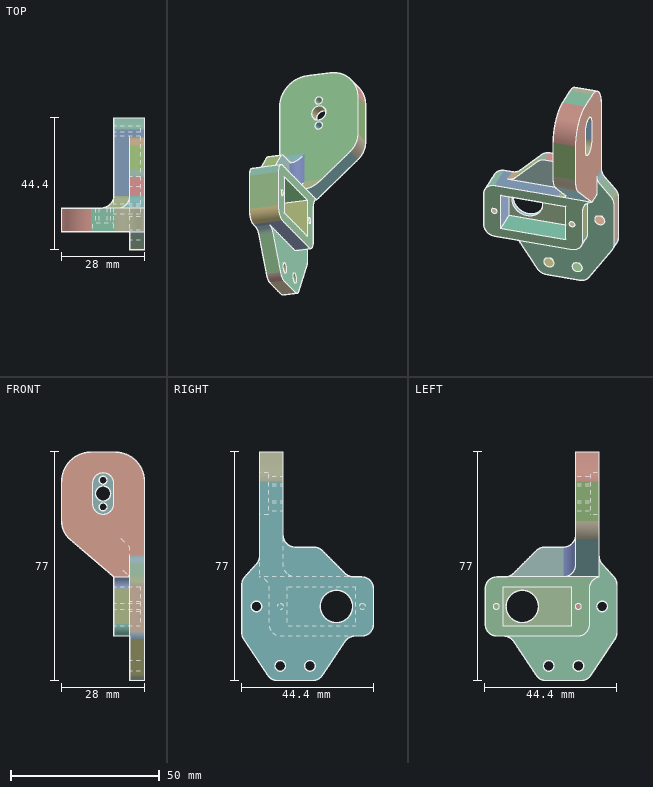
import cadquery as cq

CORNER_RADIUS = 4.0
SELECTION_MARGIN = 1.0

PLATE_THICKNESS = 5.1
PLATE_TOP = 45.0
PLATE_BACK_Y = 36.0
PLATE_SHOULDER_INSET = 10.0
PLATE_FRONT_LOW_Z = 15.0
PLATE_FRONT_HIGH_Z = 33.85
PLATE_ARM_CORNER_Z = 40.45
PLATE_HOLE_DIAMETER = 3.5
PLATE_HOLE_CENTERS = [(5.0, 25.0), (13.0, 5.0), (23.0, 5.0)]

BOX_DEPTH = 10.45
BOX_BACK_Y = 44.4
BOX_FRONT_Y = 9.3
BOX_BOTTOM = PLATE_FRONT_LOW_Z
BOX_TOP = 35.0
BOX_CENTER_Y = (BOX_FRONT_Y + BOX_BACK_Y) / 2
BOX_CENTER_Z = (BOX_BOTTOM + BOX_TOP) / 2
POCKET_LENGTH = 23.0
POCKET_HEIGHT = 13.0
POCKET_DEPTH = 9.0
SCREW_SPACING = 27.6
SCREW_DIAMETER = 2.0
SCREW_DEPTH = POCKET_DEPTH
SHAFT_DIAMETER = 10.8
SHAFT_Y = 31.9

ARM_WIDTH = 28.0
ARM_TOP = 77.0
ARM_FRONT_Y = 6.0
ARM_THICKNESS = 8.0
ARM_BACK_Y = ARM_FRONT_Y + ARM_THICKNESS
ARM_SIDE_BOTTOM = 50.0
ARM_TOP_RADIUS = 10.0
ARM_SIDE_RADIUS = 8.0
SLOT_WIDTH = 7.0
SLOT_LENGTH = 14.0
SLOT_DEPTH = 3.0
SLOT_X = -ARM_WIDTH / 2
SLOT_Z = 63.0
HORN_BORE_DIAMETER = 5.0
HORN_SCREW_DIAMETER = 2.6
HORN_SCREW_OFFSET = 4.5


def make_plate():
    """Plate outline as (Y, Z) points, rounded at every corner except the one buried in the arm."""
    outline = [
        (PLATE_SHOULDER_INSET, 0),
        (PLATE_BACK_Y - PLATE_SHOULDER_INSET, 0),
        (PLATE_BACK_Y, BOX_BOTTOM),
        (BOX_BACK_Y, BOX_BOTTOM),
        (BOX_BACK_Y, BOX_TOP),
        (PLATE_BACK_Y, BOX_TOP),
        (PLATE_BACK_Y - PLATE_SHOULDER_INSET, PLATE_TOP),
        (ARM_FRONT_Y, PLATE_TOP),
        (ARM_FRONT_Y, PLATE_ARM_CORNER_Z),
        (0, PLATE_FRONT_HIGH_Z),
        (0, PLATE_FRONT_LOW_Z),
    ]
    plate = cq.Workplane("YZ").polyline(outline).close().extrude(-PLATE_THICKNESS)
    square_corner = cq.selectors.BoxSelector(
        (-ARM_WIDTH, ARM_FRONT_Y - SELECTION_MARGIN, PLATE_TOP - SELECTION_MARGIN),
        (SELECTION_MARGIN, ARM_FRONT_Y + SELECTION_MARGIN, PLATE_TOP + SELECTION_MARGIN),
    )
    rounded_corners = cq.selectors.StringSyntaxSelector("|X") - square_corner
    return plate.edges(rounded_corners).fillet(CORNER_RADIUS)


def make_box():
    length = BOX_BACK_Y - BOX_FRONT_Y
    height = BOX_TOP - BOX_BOTTOM
    box = (
        cq.Workplane("YZ", origin=(0, BOX_CENTER_Y, BOX_CENTER_Z))
        .rect(length, height)
        .extrude(-BOX_DEPTH)
    )
    rear = box.edges("|X and >Y").fillet(CORNER_RADIUS)
    return rear.edges("|X and <Y and <Z").fillet(CORNER_RADIUS)


def arm_blank(thickness):
    """Arm outline extruded from the arm's front face towards +Y."""
    outline = [
        (0, BOX_TOP),
        (0, ARM_TOP),
        (-ARM_WIDTH, ARM_TOP),
        (-ARM_WIDTH, ARM_SIDE_BOTTOM),
        (-BOX_DEPTH, BOX_TOP),
    ]
    return (
        cq.Workplane("XZ", origin=(0, ARM_FRONT_Y, 0))
        .polyline(outline)
        .close()
        .extrude(-thickness)
    )


def make_arm():
    arm = arm_blank(ARM_THICKNESS)
    arm = arm.edges("|Y and >Z").fillet(ARM_TOP_RADIUS)
    return arm.edges("|Y and <X").fillet(ARM_SIDE_RADIUS)


def corner_web(plane, corner, direction, length):
    """Prism with a concave quarter-round face, filling a square inside corner."""
    u, v = corner
    du = CORNER_RADIUS * direction[0]
    dv = CORNER_RADIUS * direction[1]
    arc = cq.Workplane(plane).center(u + du, v + dv).circle(CORNER_RADIUS).extrude(length)
    block = cq.Workplane(plane).center(u + du / 2, v + dv / 2).rect(abs(du), abs(dv)).extrude(length)
    return block.cut(arc)


def make_arm_webs():
    """Rounded transitions from the arm's back face to the plate and the box."""
    box_top = corner_web("YZ", (ARM_BACK_Y, BOX_TOP), (1, 1), -ARM_WIDTH)
    plate_top = corner_web("YZ", (ARM_BACK_Y, PLATE_TOP), (1, 1), -PLATE_THICKNESS)
    plate_face_corner = (-PLATE_THICKNESS, ARM_BACK_Y)
    plate_face = corner_web("XY", plate_face_corner, (-1, 1), PLATE_TOP - BOX_TOP)
    plate_face = plate_face.translate((0, 0, BOX_TOP))
    face_cap = corner_web("XY", plate_face_corner, (-1, 1), CORNER_RADIUS)
    face_cap = face_cap.translate((0, 0, PLATE_TOP))
    face_cap = face_cap.intersect(corner_web("YZ", (ARM_BACK_Y, PLATE_TOP), (1, 1), -ARM_WIDTH))
    webs = box_top.union(plate_top).union(plate_face).union(face_cap)
    return webs.intersect(arm_blank(ARM_THICKNESS + CORNER_RADIUS))


def make_overhang_web():
    """Rounded transition below the arm, where it overhangs the front end of the box."""
    web = corner_web("YZ", (BOX_FRONT_Y, BOX_TOP), (-1, -1), -BOX_DEPTH)
    beyond_arm = (
        cq.Workplane("XY")
        .box(ARM_WIDTH, ARM_FRONT_Y, ARM_TOP, centered=(False, False, False))
        .translate((-ARM_WIDTH, 0, 0))
    )
    return web.cut(beyond_arm)


def yz_holes(centers, diameter, start_x, depth):
    """Round cutters running towards +X from start_x."""
    return cq.Workplane("YZ", origin=(start_x, 0, 0)).pushPoints(centers).circle(diameter / 2).extrude(depth)


def cut_plate_holes(body):
    return body.cut(yz_holes(PLATE_HOLE_CENTERS, PLATE_HOLE_DIAMETER, -BOX_DEPTH, BOX_DEPTH))


def cut_servo_seat(body):
    pocket = (
        cq.Workplane("YZ", origin=(-BOX_DEPTH, BOX_CENTER_Y, BOX_CENTER_Z))
        .rect(POCKET_LENGTH, POCKET_HEIGHT)
        .extrude(POCKET_DEPTH)
    )
    screw_centers = [(BOX_CENTER_Y + side * SCREW_SPACING / 2, BOX_CENTER_Z) for side in (-1, 1)]
    screws = yz_holes(screw_centers, SCREW_DIAMETER, -BOX_DEPTH, SCREW_DEPTH)
    shaft = yz_holes([(SHAFT_Y, BOX_CENTER_Z)], SHAFT_DIAMETER, -BOX_DEPTH, BOX_DEPTH)
    return body.cut(pocket).cut(screws).cut(shaft)


def cut_horn_seat(body):
    """Slot in the arm's front face with a bore and two screw holes through its floor."""
    face = cq.Workplane("XZ", origin=(SLOT_X, ARM_FRONT_Y, SLOT_Z))
    slot = face.slot2D(SLOT_LENGTH, SLOT_WIDTH, 90).extrude(-SLOT_DEPTH)
    bore = face.circle(HORN_BORE_DIAMETER / 2).extrude(-ARM_THICKNESS)
    screw_centers = [(0, -HORN_SCREW_OFFSET), (0, HORN_SCREW_OFFSET)]
    screws = face.pushPoints(screw_centers).circle(HORN_SCREW_DIAMETER / 2).extrude(-ARM_THICKNESS)
    return body.cut(slot).cut(bore).cut(screws)


bracket = make_plate().union(make_box()).union(make_arm())
bracket = bracket.union(make_arm_webs()).union(make_overhang_web())
bracket = cut_plate_holes(bracket)
bracket = cut_servo_seat(bracket)
result = cut_horn_seat(bracket)